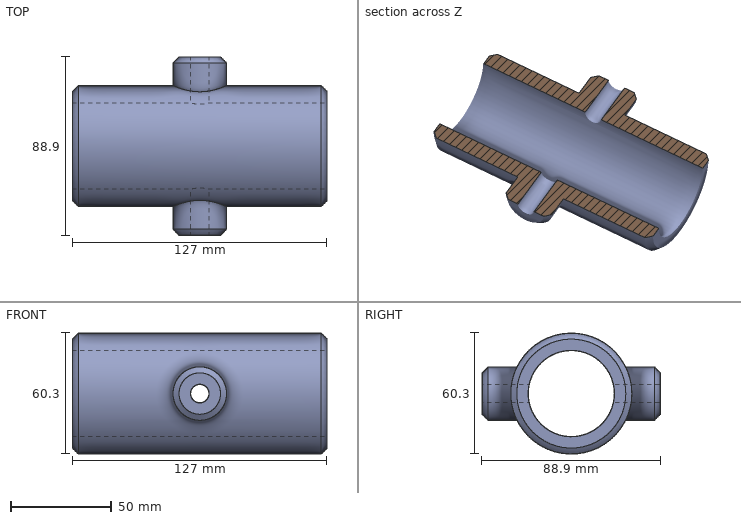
import cadquery as cq

tube_length = 127.0
tube_diameter = 60.325
bore_diameter = 42.85

boss_span = 88.9
boss_diameter = 26.67
boss_hole_diameter = 9.1

end_chamfer = 3.0


def centred_cylinder(plane, diameter, length):
    """Solid cylinder centred on the origin, along the normal of the plane."""
    return cq.Workplane(plane).circle(diameter / 2).extrude(length / 2, both=True)


def chamfered_cylinder(plane, diameter, length):
    """Centred cylinder with both end edges bevelled."""
    cylinder = centred_cylinder(plane, diameter, length)
    return cylinder.faces("%PLANE").edges().chamfer(end_chamfer)


tube = chamfered_cylinder("YZ", tube_diameter, tube_length)
bosses = chamfered_cylinder("XZ", boss_diameter, boss_span)
bore = centred_cylinder("YZ", bore_diameter, tube_length)
boss_holes = centred_cylinder("XZ", boss_hole_diameter, boss_span)

result = tube.union(bosses).cut(bore).cut(boss_holes)